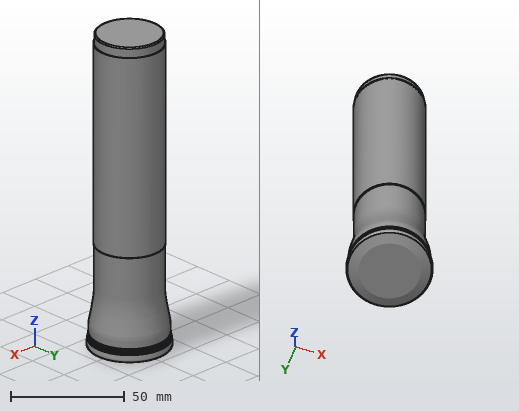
import cadquery as cq
import math

TOTAL_HEIGHT = 152.4
TUBE_BOTTOM = 50.5
CAP_HEIGHT = 4.9
NECK_BOTTOM = 30.0
CONE_TOP = 21.3
CONE_BOTTOM = 13.3
COLLAR_TOP = 11.5
COLLAR_BOTTOM = 7.8
RIM_TOP = 4.5
RIM_EDGE = 2.7
NOSE_TOP = 1.4

TUBE_RADIUS = 16.0
CAP_RADIUS = 15.5
NECK_RADIUS = 15.7
RIM_TOP_RADIUS = 18.7
RIM_RADIUS = 19.0
NOSE_RADIUS = 18.5
NOSE_TIP_RADIUS = 13.7

CONE_ANGLE = math.radians(10.4)
ARC_SLOPE = math.tan(CONE_ANGLE / 2)
CONE_TOP_RADIUS = NECK_RADIUS + (NECK_BOTTOM - CONE_TOP) * ARC_SLOPE
CONE_BOTTOM_RADIUS = CONE_TOP_RADIUS + (CONE_TOP - CONE_BOTTOM) * math.tan(CONE_ANGLE)
COLLAR_RADIUS = CONE_BOTTOM_RADIUS + (CONE_BOTTOM - COLLAR_TOP) * ARC_SLOPE

CAP_CHAMFER = 0.6
TUBE_END_CHAMFER_HEIGHT = 0.5

RING_COUNT = 4
GROOVE_DEPTH = 0.2
RING_PITCH = (COLLAR_BOTTOM - RIM_TOP) / RING_COUNT
GROOVE_HEIGHT = RING_PITCH / 2
RING_STEP = (RIM_TOP_RADIUS - COLLAR_RADIUS) / RING_COUNT


def revolve_about_z(profile):
    """Revolve a closed half profile, drawn as (radius, height), about the Z axis."""
    return profile.close().revolve(360, (0, 0, 0), (0, 1, 0))


def make_tube():
    """Long plain barrel with a slightly narrower cap at its upper end."""
    cap_bottom = TOTAL_HEIGHT - CAP_HEIGHT
    profile = (
        cq.Workplane("XZ")
        .moveTo(0, TUBE_BOTTOM)
        .lineTo(NECK_RADIUS, TUBE_BOTTOM)
        .lineTo(TUBE_RADIUS, TUBE_BOTTOM + TUBE_END_CHAMFER_HEIGHT)
        .lineTo(TUBE_RADIUS, cap_bottom)
        .lineTo(CAP_RADIUS, cap_bottom)
        .lineTo(CAP_RADIUS, TOTAL_HEIGHT - CAP_CHAMFER)
        .lineTo(CAP_RADIUS - CAP_CHAMFER, TOTAL_HEIGHT)
        .lineTo(0, TOTAL_HEIGHT)
    )
    return revolve_about_z(profile)


def add_flare(profile):
    """Continue down from the neck: concave arc, cone and convex arc, all tangent."""
    return (
        profile.tangentArcPoint((CONE_TOP_RADIUS, CONE_TOP), relative=False)
        .lineTo(CONE_BOTTOM_RADIUS, CONE_BOTTOM)
        .tangentArcPoint((COLLAR_RADIUS, COLLAR_TOP), relative=False)
    )


def add_grip_rings(profile):
    """Continue down from the collar: shallow grooves, each followed by a wider ring."""
    for ring in range(RING_COUNT):
        ring_top = COLLAR_BOTTOM - ring * RING_PITCH
        upper_radius = COLLAR_RADIUS + ring * RING_STEP
        ring_radius = upper_radius + RING_STEP
        groove_radius = upper_radius - GROOVE_DEPTH
        profile = (
            profile.lineTo(groove_radius, ring_top)
            .lineTo(groove_radius, ring_top - GROOVE_HEIGHT)
            .lineTo(ring_radius, ring_top - GROOVE_HEIGHT)
            .lineTo(ring_radius, ring_top - RING_PITCH)
        )
    return profile


def make_head():
    """Flared head with grip rings, a rounded rim and a blunt conical nose."""
    profile = (
        cq.Workplane("XZ")
        .moveTo(0, TUBE_BOTTOM)
        .lineTo(NECK_RADIUS, TUBE_BOTTOM)
        .lineTo(NECK_RADIUS, NECK_BOTTOM)
    )
    profile = add_flare(profile).lineTo(COLLAR_RADIUS, COLLAR_BOTTOM)
    profile = (
        add_grip_rings(profile)
        .lineTo(RIM_RADIUS, RIM_EDGE)
        .tangentArcPoint((NOSE_RADIUS, NOSE_TOP), relative=False)
        .lineTo(NOSE_TIP_RADIUS, 0)
        .lineTo(0, 0)
    )
    return revolve_about_z(profile)


tube = make_tube()
head = make_head()

result = cq.Compound.makeCompound([tube.val(), head.val()])